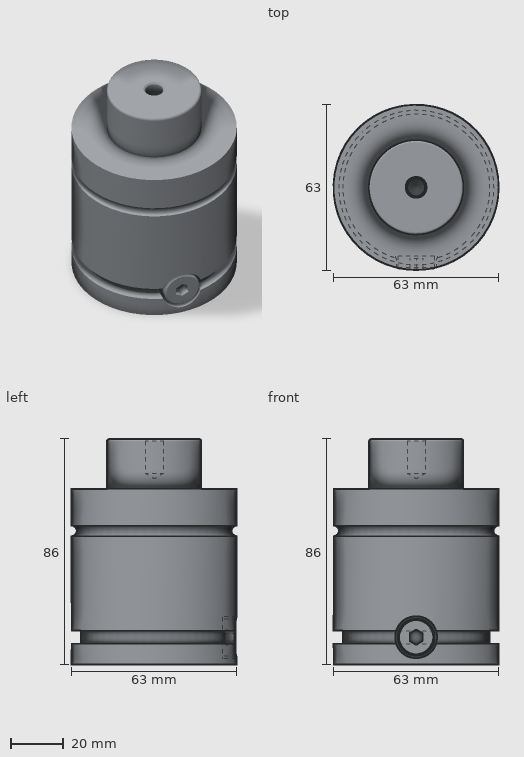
import cadquery as cq
import math

body_diameter = 63.0
body_height = 67.0
rod_diameter = 36.0
overall_height = 86.0
rod_edge_radius = 1.0

round_groove_radius = 2.0
round_groove_height = 51.0

square_groove_bottom = 8.0
square_groove_top = 13.0
square_groove_floor_diameter = 56.0

rod_hole_diameter = 6.8
rod_hole_mouth_diameter = 8.0
rod_hole_depth = 13.0
drill_point_angle = 118.0

port_height = 10.5
port_diameter = 16.0
port_depth = 5.5
plug_diameter = 14.0
plug_recess = 0.5
plug_edge_chamfer = 0.5
plug_hex_across_flats = 5.0
plug_hex_depth = 4.0

body_radius = body_diameter / 2
rod_radius = rod_diameter / 2


def make_turned_body():
    """Body, grooves and rod as one revolved profile (radius, height)."""
    groove_floor_radius = square_groove_floor_diameter / 2
    profile = (
        cq.Workplane("XZ")
        .moveTo(0, 0)
        .lineTo(body_radius, 0)
        .lineTo(body_radius, square_groove_bottom)
        .lineTo(groove_floor_radius, square_groove_bottom)
        .lineTo(groove_floor_radius, square_groove_top)
        .lineTo(body_radius, square_groove_top)
        .lineTo(body_radius, round_groove_height - round_groove_radius)
        .threePointArc(
            (body_radius - round_groove_radius, round_groove_height),
            (body_radius, round_groove_height + round_groove_radius),
        )
        .lineTo(body_radius, body_height)
        .lineTo(rod_radius, body_height)
        .lineTo(rod_radius, overall_height - rod_edge_radius)
        .radiusArc((rod_radius - rod_edge_radius, overall_height), -rod_edge_radius)
        .lineTo(0, overall_height)
        .close()
    )
    return profile.revolve(360, (0, 0, 0), (0, 1, 0))


def make_rod_hole():
    """Blind hole with a 45 degree mouth chamfer and a conical drill point."""
    hole_radius = rod_hole_diameter / 2
    mouth_radius = rod_hole_mouth_diameter / 2
    mouth_depth = mouth_radius - hole_radius
    point_length = hole_radius / math.tan(math.radians(drill_point_angle / 2))
    hole_bottom = overall_height - rod_hole_depth
    profile = (
        cq.Workplane("XZ")
        .moveTo(0, overall_height)
        .lineTo(mouth_radius, overall_height)
        .lineTo(hole_radius, overall_height - mouth_depth)
        .lineTo(hole_radius, hole_bottom)
        .lineTo(0, hole_bottom - point_length)
        .close()
    )
    return profile.revolve(360, (0, 0, 0), (0, 1, 0))


def port_plane(depth):
    """Plane at the given depth below the -Y side, facing outward on the port axis."""
    return cq.Workplane("XZ", origin=(0, depth - body_radius, port_height))


def make_port():
    """Cylindrical recess sunk into the side of the body."""
    return port_plane(port_depth).circle(port_diameter / 2).extrude(port_depth)


def make_plug():
    """Chamfered plug standing on the port floor, with a hexagon socket."""
    plug_length = port_depth - plug_recess
    plug = port_plane(port_depth).circle(plug_diameter / 2).extrude(plug_length)
    plug = plug.faces("<Y").chamfer(plug_edge_chamfer)
    hex_across_corners = plug_hex_across_flats / math.cos(math.radians(30))
    socket = (
        port_plane(plug_recess)
        .transformed(rotate=(0, 0, 90))
        .polygon(6, hex_across_corners)
        .extrude(-plug_hex_depth)
    )
    return plug.cut(socket)


result = make_turned_body().cut(make_rod_hole()).cut(make_port()).union(make_plug())